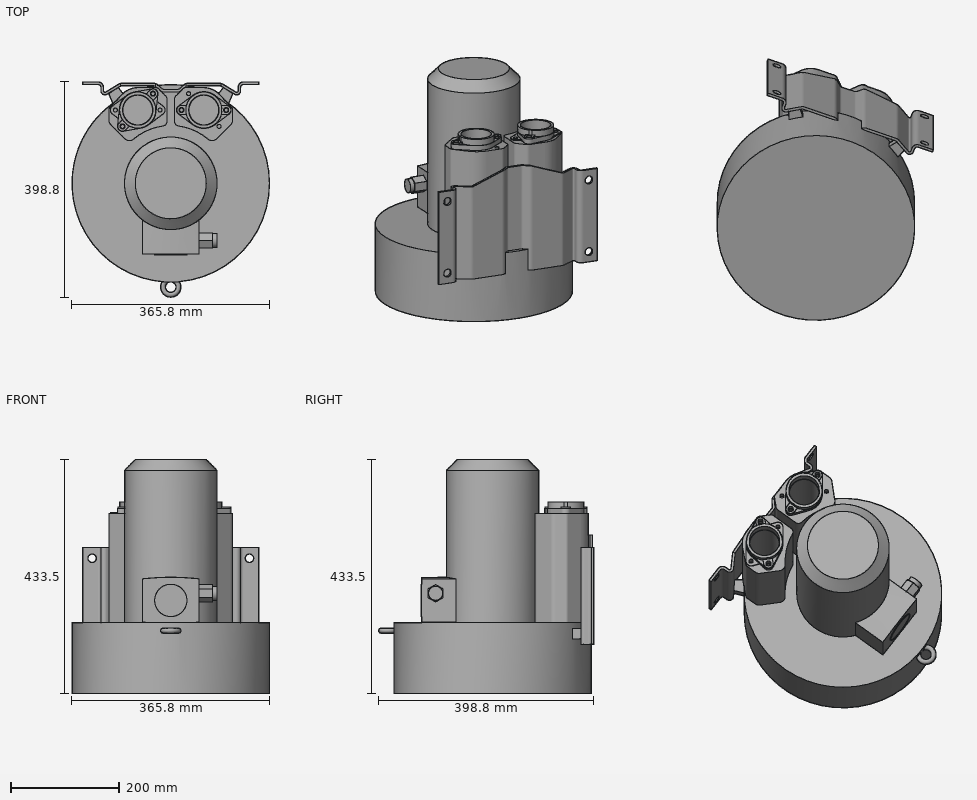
import cadquery as cq
import math

HOUSING_RADIUS = 182.9
HOUSING_HEIGHT = 131.5

MOTOR_RADIUS = 85.7
MOTOR_CHAMFER = 20.0
TOTAL_HEIGHT = 433.45
TOTAL_DEPTH = 398.75

BOX_WIDTH = 104.8
BOX_FRONT_Y = -131.3
BOX_GAP = 1.2
BOX_SIDE_BOTTOM = HOUSING_HEIGHT + BOX_GAP
BOX_SIDE_TOP = 212.5
BOX_BOW = 3.1
BOX_DISC_RADIUS = 29.9
BOX_DISC_HEIGHT = 1.5

GLAND_Y = -105.5
GLAND_Z = 185.8
GLAND_HEX_DIAMETER = 32.2
GLAND_HEX_LENGTH = 24.4
GLAND_NECK_RADIUS = 13.0
GLAND_NECK_LENGTH = 8.5

EYE_FRONT_Y = -211.0
EYE_OUTER_RADIUS = 18.9
EYE_WIRE_RADIUS = 4.7
EYE_Z = 116.5

SILENCER_TOP = 333.5
SILENCER_BACK_Y = 177.5
SILENCER_OUTER_X = -114.6
SILENCER_INNER_X = -6.9
SILENCER_FRONT_RADIUS = 107.0
SILENCER_TIP_X = -77.0
SILENCER_BORE_RADIUS = 27.5

PORT_X = -61.2
PORT_Y = 135.6
PIPE_RADIUS = 33.4
PIPE_BORE_RADIUS = 28.1
PIPE_TOP = 354.8
GASKET_THICKNESS = 2.0
FLANGE_TOP = 342.9
PAD_TOP = 345.6
FLANGE_BODY_RADIUS = 34.0
BOLT_OFFSET = 41.4
EAR_RADIUS = 9.2
PAD_RADIUS = 8.7
FLANGE_HOLE_RADIUS = 4.7
SCREW_HOLE_RADIUS = 3.7
SCREW_HOLE_DEPTH = 15.0
BOLT_HEAD_RADIUS = 8.7
DIAGONAL_ANGLE = 47.0

SHEET = 5.0
BRACKET_BACK_Y = EYE_FRONT_Y + TOTAL_DEPTH
BRACKET_HALF_WIDTH = 163.0
BRACKET_BOTTOM = 91.0
BRACKET_SIDE_TOP = 270.6
BRACKET_MIDDLE_TOP = 293.7
BRACKET_WEB_Y = 182.8
BRACKET_MIDDLE_Y = 171.5
BRACKET_JOG_X = 127.0
BRACKET_WEB_OUTER_X = 92.8
BRACKET_WEB_INNER_X = 28.6
BRACKET_MIDDLE_X = 16.0
BRACKET_SLOPE = 31.0
JOG_BACK_RADIUS = 7.7
JOG_FRONT_RADIUS = 5.0
SHEET_BEND_RADIUS = 8.0
MOUNT_HOLE_X = 145.6
MOUNT_HOLE_RADIUS = 7.6
MOUNT_HOLE_INSET = 20.0

BLOCK_BOTTOM = 101.5
BLOCK_TOP = 121.0
BLOCK_OUTLINE = [(-115.0, 166.0), (-97.5, 178.0), (-80.0, 155.0), (-100.0, 140.0), (-107.0, 147.0)]


def mirrored(shape):
    """Copy of a shape on the other side of the YZ plane."""
    return shape.mirror("YZ")


def cylinder(x, y, radius, bottom, top):
    return cq.Workplane("XY", origin=(x, y, bottom)).circle(radius).extrude(top - bottom)


def make_housing():
    return cylinder(0, 0, HOUSING_RADIUS, 0, HOUSING_HEIGHT)


def make_motor():
    motor = cylinder(0, 0, MOTOR_RADIUS, HOUSING_HEIGHT, TOTAL_HEIGHT)
    return motor.faces(">Z").chamfer(MOTOR_CHAMFER)


def make_terminal_box():
    half = BOX_WIDTH / 2
    box = (
        cq.Workplane("XZ")
        .moveTo(-half, BOX_SIDE_BOTTOM)
        .threePointArc((0, BOX_SIDE_BOTTOM - BOX_BOW), (half, BOX_SIDE_BOTTOM))
        .lineTo(half, BOX_SIDE_TOP)
        .threePointArc((0, BOX_SIDE_TOP + BOX_BOW), (-half, BOX_SIDE_TOP))
        .close()
        .extrude(-BOX_FRONT_Y)
    )
    disc_z = (BOX_SIDE_BOTTOM + BOX_SIDE_TOP) / 2
    disc_plane = cq.Workplane("XZ", origin=(0, BOX_FRONT_Y, disc_z))
    disc = disc_plane.circle(BOX_DISC_RADIUS).extrude(BOX_DISC_HEIGHT)
    return box.union(disc)


def make_gland():
    plane = cq.Workplane("YZ", origin=(BOX_WIDTH / 2, GLAND_Y, GLAND_Z))
    nut = plane.transformed(rotate=(0, 0, 90)).polygon(6, GLAND_HEX_DIAMETER).extrude(GLAND_HEX_LENGTH)
    neck = plane.circle(GLAND_NECK_RADIUS).extrude(GLAND_HEX_LENGTH + GLAND_NECK_LENGTH)
    return nut.union(neck)


def make_lifting_eye():
    ring = cq.Solid.makeTorus(EYE_OUTER_RADIUS - EYE_WIRE_RADIUS, EYE_WIRE_RADIUS)
    return cq.Workplane(ring.translate(cq.Vector(0, EYE_FRONT_Y + EYE_OUTER_RADIUS, EYE_Z)))


def make_silencer_body():
    """Left silencer, without holes."""
    front_inner_y = math.sqrt(SILENCER_FRONT_RADIUS**2 - SILENCER_INNER_X**2)
    tip_y = math.sqrt(SILENCER_FRONT_RADIUS**2 - SILENCER_TIP_X**2)
    middle_angle = (math.atan2(front_inner_y, SILENCER_INNER_X) + math.atan2(tip_y, SILENCER_TIP_X)) / 2
    arc_middle = (
        SILENCER_FRONT_RADIUS * math.cos(middle_angle),
        SILENCER_FRONT_RADIUS * math.sin(middle_angle),
    )
    corners = [
        (SILENCER_TIP_X, tip_y, 12.0),
        (SILENCER_OUTER_X, 112.0, 12.0),
        (SILENCER_OUTER_X, 138.4, 6.0),
        (-78.2, SILENCER_BACK_Y, 41.6),
        (-25.0, SILENCER_BACK_Y, 8.0),
        (SILENCER_INNER_X, 159.0, 8.0),
        (SILENCER_INNER_X, front_inner_y, 9.0),
    ]
    body = (
        cq.Workplane("XY", origin=(0, 0, HOUSING_HEIGHT))
        .polyline([(x, y) for x, y, _ in corners])
        .threePointArc(arc_middle, (SILENCER_TIP_X, tip_y))
        .close()
        .extrude(SILENCER_TOP - HOUSING_HEIGHT)
    )
    middle_z = (HOUSING_HEIGHT + SILENCER_TOP) / 2
    for x, y, radius in corners:
        corner_edge = cq.selectors.NearestToPointSelector((x, y, middle_z))
        body = body.edges("|Z").edges(corner_edge).fillet(radius)
    return body


def bolt_points(angle):
    """The two bolt centres of a port, on a line through it at the given angle."""
    dx = BOLT_OFFSET * math.cos(math.radians(angle))
    dy = BOLT_OFFSET * math.sin(math.radians(angle))
    return [(PORT_X + dx, PORT_Y + dy), (PORT_X - dx, PORT_Y - dy)]


def make_two_ear_plate(angle, bottom, top):
    """Round plate with two tangent ears, the ears lying at the given angle."""
    lean = math.acos((FLANGE_BODY_RADIUS - EAR_RADIUS) / BOLT_OFFSET)
    tx = math.cos(lean)
    ty = math.sin(lean)
    body_x = FLANGE_BODY_RADIUS * tx
    body_y = FLANGE_BODY_RADIUS * ty
    ear_x = BOLT_OFFSET + EAR_RADIUS * tx
    ear_y = EAR_RADIUS * ty
    ear_end = BOLT_OFFSET + EAR_RADIUS
    return (
        cq.Workplane("XY", origin=(PORT_X, PORT_Y, bottom))
        .transformed(rotate=(0, 0, angle))
        .moveTo(body_x, body_y)
        .lineTo(ear_x, ear_y)
        .threePointArc((ear_end, 0), (ear_x, -ear_y))
        .lineTo(body_x, -body_y)
        .threePointArc((0, -FLANGE_BODY_RADIUS), (-body_x, -body_y))
        .lineTo(-ear_x, -ear_y)
        .threePointArc((-ear_end, 0), (-ear_x, ear_y))
        .lineTo(-body_x, body_y)
        .threePointArc((0, FLANGE_BODY_RADIUS), (body_x, body_y))
        .close()
        .extrude(top - bottom)
    )


def make_bolt_pads(angle):
    """Raised pads that run from the bolts in to the pipe."""
    pad_length = BOLT_OFFSET - PIPE_BORE_RADIUS
    pads = cq.Workplane("XY")
    for side_angle in (angle, angle + 180):
        plane = cq.Workplane("XY", origin=(PORT_X, PORT_Y, SILENCER_TOP))
        plane = plane.transformed(rotate=(0, 0, side_angle))
        strip = plane.center(BOLT_OFFSET - pad_length / 2, 0).rect(pad_length, 2 * PAD_RADIUS)
        pads = pads.union(strip.extrude(PAD_TOP - SILENCER_TOP))
    for x, y in bolt_points(angle):
        pads = pads.union(cylinder(x, y, PAD_RADIUS, SILENCER_TOP, PAD_TOP))
    return pads


def make_silencer(flange_angle):
    """Left silencer with gasket, flange and pipe; the flange ears lie at the given angle."""
    gasket_top = SILENCER_TOP + GASKET_THICKNESS
    silencer = make_silencer_body()
    silencer = silencer.union(make_two_ear_plate(0, SILENCER_TOP, gasket_top))
    silencer = silencer.union(make_two_ear_plate(flange_angle, SILENCER_TOP, FLANGE_TOP))
    silencer = silencer.union(make_bolt_pads(flange_angle))
    silencer = silencer.union(cylinder(PORT_X, PORT_Y, PIPE_RADIUS, SILENCER_TOP, PIPE_TOP))

    silencer = silencer.cut(cylinder(PORT_X, PORT_Y, PIPE_BORE_RADIUS, SILENCER_TOP, PIPE_TOP))
    silencer = silencer.cut(cylinder(PORT_X, PORT_Y, SILENCER_BORE_RADIUS, HOUSING_HEIGHT, SILENCER_TOP))
    hole_bottom = SILENCER_TOP - SCREW_HOLE_DEPTH
    for x, y in bolt_points(0) + bolt_points(DIAGONAL_ANGLE):
        silencer = silencer.cut(cylinder(x, y, SCREW_HOLE_RADIUS, hole_bottom, gasket_top))
    for x, y in bolt_points(flange_angle):
        silencer = silencer.cut(cylinder(x, y, FLANGE_HOLE_RADIUS, SILENCER_TOP, PAD_TOP))
        silencer = silencer.cut(cylinder(x, y, BOLT_HEAD_RADIUS, PAD_TOP, PIPE_TOP))
    return silencer


def make_bracket():
    """Bent sheet laid out from its mid-line, with a raised middle and four mounting holes."""
    flange_y = BRACKET_BACK_Y - SHEET / 2
    slope_run = BRACKET_JOG_X - BRACKET_WEB_OUTER_X
    jog_y = BRACKET_WEB_Y - slope_run * math.tan(math.radians(BRACKET_SLOPE))
    half = [
        (-BRACKET_JOG_X, flange_y, JOG_BACK_RADIUS),
        (-BRACKET_JOG_X, jog_y, JOG_FRONT_RADIUS),
        (-BRACKET_WEB_OUTER_X, BRACKET_WEB_Y, SHEET_BEND_RADIUS),
        (-BRACKET_WEB_INNER_X, BRACKET_WEB_Y, SHEET_BEND_RADIUS),
        (-BRACKET_MIDDLE_X, BRACKET_MIDDLE_Y, SHEET_BEND_RADIUS),
    ]
    bends = half + [(-x, y, radius) for x, y, radius in reversed(half)]
    points = [(x, y) for x, y, _ in bends]
    points = [(-BRACKET_HALF_WIDTH, flange_y)] + points + [(BRACKET_HALF_WIDTH, flange_y)]

    headings = [math.atan2(b[1] - a[1], b[0] - a[0]) for a, b in zip(points, points[1:])]
    before = headings[:1] + headings
    after = headings + headings[-1:]
    back_face = []
    front_face = []
    for (x, y), first, second in zip(points, before, after):
        mitre = (first + second) / 2 + math.pi / 2
        reach = SHEET / 2 / math.cos((second - first) / 2)
        back_face.append((x + reach * math.cos(mitre), y + reach * math.sin(mitre)))
        front_face.append((x - reach * math.cos(mitre), y - reach * math.sin(mitre)))
    height = BRACKET_MIDDLE_TOP - BRACKET_BOTTOM
    sheet = (
        cq.Workplane("XY", origin=(0, 0, BRACKET_BOTTOM))
        .polyline(back_face + front_face[::-1])
        .close()
        .extrude(height)
    )
    middle_z = BRACKET_BOTTOM + height / 2
    for index, (_, _, radius) in enumerate(bends, start=1):
        turns_left = headings[index] > headings[index - 1]
        back_radius = radius - SHEET / 2 if turns_left else radius + SHEET / 2
        front_radius = 2 * radius - back_radius
        for corner, bend in ((back_face[index], back_radius), (front_face[index], front_radius)):
            corner_edge = cq.selectors.NearestToPointSelector((*corner, middle_z))
            sheet = sheet.edges("|Z").edges(corner_edge).fillet(bend)

    elevation = (
        cq.Workplane("XZ")
        .polyline([
            (-BRACKET_HALF_WIDTH, BRACKET_BOTTOM),
            (-BRACKET_HALF_WIDTH, BRACKET_SIDE_TOP),
            (-BRACKET_WEB_OUTER_X, BRACKET_SIDE_TOP),
            (-BRACKET_WEB_INNER_X, BRACKET_MIDDLE_TOP),
            (BRACKET_WEB_INNER_X, BRACKET_MIDDLE_TOP),
            (BRACKET_WEB_OUTER_X, BRACKET_SIDE_TOP),
            (BRACKET_HALF_WIDTH, BRACKET_SIDE_TOP),
            (BRACKET_HALF_WIDTH, BRACKET_BOTTOM),
        ])
        .close()
        .extrude(-BRACKET_BACK_Y)
    )
    hole_points = [
        (x, z)
        for x in (-MOUNT_HOLE_X, MOUNT_HOLE_X)
        for z in (BRACKET_BOTTOM + MOUNT_HOLE_INSET, BRACKET_SIDE_TOP - MOUNT_HOLE_INSET)
    ]
    holes = cq.Workplane("XZ").pushPoints(hole_points).circle(MOUNT_HOLE_RADIUS).extrude(-BRACKET_BACK_Y)
    return sheet.intersect(elevation).cut(holes)


def make_block():
    """Left block between bracket and housing."""
    outline = cq.Workplane("XY", origin=(0, 0, BLOCK_BOTTOM)).polyline(BLOCK_OUTLINE).close()
    return outline.extrude(BLOCK_TOP - BLOCK_BOTTOM)


result = make_housing()
for part in (
    make_motor(),
    make_terminal_box(),
    make_gland(),
    make_lifting_eye(),
    make_silencer(DIAGONAL_ANGLE),
    mirrored(make_silencer(0)),
    make_bracket(),
    make_block(),
    mirrored(make_block()),
):
    result = result.union(part)